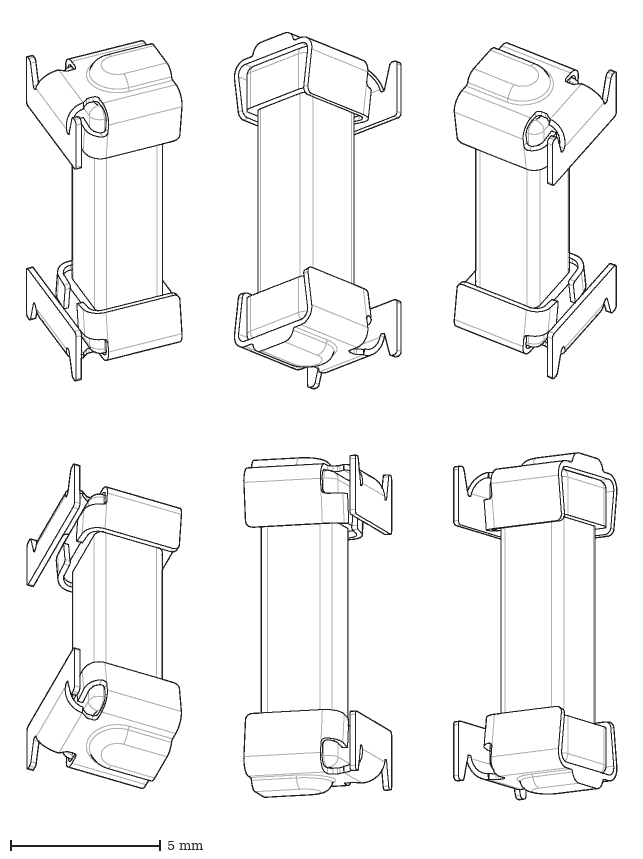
import cadquery as cq
import math

total_height = 11.3
sheet = 0.198

column_side = 2.46
column_corner = 0.311

block_half = 1.51
block_corner = 0.38
block_top_round = 0.33
block_open_z = 3.44

bump_rise = 0.4
bump_crown_half = 0.54
bump_foot_half = 1.04
bump_joint_share = 0.8
roof_z = total_height / 2 - bump_rise
back_y = 1.58

roll_x = 1.31
roll_radius = 0.51
lean = 8.0
wall_length = 1.51
wall_front_y = -1.11
wall_back_round = 0.23
roll_z = roof_z - roll_radius

tab_front_y = -1.7
tab_end_x = 0.69
tab_drop = 0.51
tab_round = 0.11
relief_round = 0.17
corner_radius = wall_front_y - tab_front_y

relief_half = 0.86
relief_end_y = -1.47
relief_corner = 0.15
tongue_half = 1.04

plate_half = 2.1
plate_front_y = -2.42
plate_edge_z = 3.36
prong_tip_z = 5.37
prong_tip_half = 1.77
prong_round = 0.14
notch_floor_z = 4.43
notch_outer = 1.49
notch_inner = 1.33
notch_round = 0.073
tongue_radius = tab_front_y - plate_front_y

pick_margin = 0.06


def make_column():
    return (
        cq.Workplane("XY")
        .rect(column_side, column_side)
        .extrude(roof_z - sheet, both=True)
        .edges("|Z")
        .fillet(column_corner)
    )


def make_block():
    return (
        cq.Workplane("XY")
        .workplane(offset=block_open_z)
        .rect(2 * block_half, 2 * block_half)
        .extrude(roof_z - sheet - block_open_z)
        .edges("|Z")
        .fillet(block_corner)
        .faces(">Z")
        .edges()
        .fillet(block_top_round)
    )


def draw_bump_half():
    """Half of the bump cross section, with a convex arc running into a concave one."""
    joint_x = bump_crown_half + bump_joint_share * (bump_foot_half - bump_crown_half)
    joint_z = total_height / 2 - bump_joint_share * bump_rise
    base_z = roof_z - sheet
    return (
        cq.Workplane("XZ")
        .moveTo(0, base_z)
        .lineTo(0, total_height / 2)
        .lineTo(bump_crown_half, total_height / 2)
        .tangentArcPoint((joint_x, joint_z), relative=False)
        .tangentArcPoint((bump_foot_half, roof_z), relative=False)
        .lineTo(bump_foot_half, base_z)
        .close()
    )


def make_bump():
    """Bump running straight to the back, with a round front end."""
    round_end = draw_bump_half().revolve(360, (0, 0), (0, 1))
    straight_half = draw_bump_half().extrude(-back_y)
    return round_end.union(straight_half).union(straight_half.mirror("YZ"))


def make_roof():
    """Flat roof with a relief slot cut in at both front corners."""
    right_edge = [
        (roll_x, back_y),
        (roll_x, wall_front_y),
        (relief_half, wall_front_y),
        (relief_half, relief_end_y),
        (tongue_half, tab_front_y),
    ]
    left_edge = [(-x, y) for x, y in reversed(right_edge)]
    slot_corners = cq.selectors.BoxSelector(
        (-relief_half - pick_margin, relief_end_y - pick_margin, 0),
        (relief_half + pick_margin, wall_front_y + pick_margin, total_height),
    )
    return (
        cq.Workplane("XY")
        .workplane(offset=roof_z - sheet)
        .polyline(right_edge + left_edge)
        .close()
        .extrude(sheet)
        .edges("|Z")
        .edges(slot_corners)
        .fillet(relief_corner)
    )


def make_side_roll():
    """Rolled edge joining the roof to the leaning right wall."""
    inner_radius = roll_radius - sheet

    def on_arc(radius, angle):
        turn = math.radians(angle)
        return (roll_x + radius * math.cos(turn), roll_z + radius * math.sin(turn))

    middle = (90 - lean) / 2
    return (
        cq.Workplane("XZ", origin=(0, back_y, 0))
        .moveTo(*on_arc(roll_radius, 90))
        .threePointArc(on_arc(roll_radius, middle), on_arc(roll_radius, -lean))
        .lineTo(*on_arc(inner_radius, -lean))
        .threePointArc(on_arc(inner_radius, middle), on_arc(inner_radius, 90))
        .close()
        .extrude(back_y - wall_front_y)
    )


def make_side_wall():
    """Right wall with its front tab, made upright and then leaned about the roll axis."""
    outer_x = roll_x + roll_radius
    inner_x = outer_x - sheet
    inner_corner = corner_radius - sheet
    bottom_z = roll_z - wall_length
    wall = (
        cq.Workplane("XY")
        .workplane(offset=bottom_z)
        .moveTo(outer_x, back_y)
        .lineTo(outer_x, wall_front_y)
        .radiusArc((outer_x - corner_radius, tab_front_y), corner_radius)
        .lineTo(tab_end_x, tab_front_y)
        .lineTo(tab_end_x, tab_front_y + sheet)
        .lineTo(inner_x - inner_corner, tab_front_y + sheet)
        .radiusArc((inner_x, wall_front_y), -inner_corner)
        .lineTo(inner_x, back_y)
        .close()
        .extrude(wall_length)
        .edges("|X and >Y and <Z")
        .fillet(wall_back_round)
        .edges("|Y and <X and <Z")
        .fillet(tab_round)
    )
    relief = (
        cq.Workplane("YZ")
        .moveTo(wall_front_y, roll_z)
        .lineTo(wall_front_y, roll_z - tab_drop)
        .lineTo(tab_front_y - sheet, roll_z - tab_drop)
        .lineTo(tab_front_y - sheet, roll_z)
        .close()
        .extrude(outer_x + sheet)
        .edges("|X and >Y and <Z")
        .fillet(relief_round)
    )
    return wall.cut(relief).rotate((roll_x, 0, roll_z), (roll_x, 1, roll_z), lean)


def make_mounting_plate():
    """Tongue bent down from the roof into the flat plate, trimmed to the pronged outline."""
    tongue = (
        cq.Workplane("YZ")
        .moveTo(tab_front_y, roof_z)
        .radiusArc((plate_front_y, roof_z - tongue_radius), -tongue_radius)
        .lineTo(plate_front_y, plate_edge_z)
        .lineTo(plate_front_y + sheet, plate_edge_z)
        .lineTo(plate_front_y + sheet, roof_z - tongue_radius)
        .radiusArc((tab_front_y, roof_z - sheet), tongue_radius - sheet)
        .close()
        .extrude(notch_outer, both=True)
    )
    tongue_space = (
        cq.Workplane("XY")
        .workplane(offset=roof_z - tongue_radius)
        .rect(2 * notch_outer, 2 * total_height)
        .extrude(total_height)
    )
    prong_sheet = (
        cq.Workplane("XZ", origin=(0, plate_front_y + sheet, 0))
        .rect(2 * plate_half, 2 * prong_tip_z)
        .extrude(sheet)
        .cut(tongue_space)
    )
    right_edge = [
        (plate_half, plate_edge_z),
        (plate_half, prong_tip_z),
        (prong_tip_half, prong_tip_z),
        (notch_outer, notch_floor_z),
        (notch_inner, notch_floor_z),
        (tongue_half, roof_z),
    ]
    left_edge = [(-x, z) for x, z in reversed(right_edge)]
    outline = (
        cq.Workplane("XZ", origin=(0, tab_front_y, 0))
        .polyline(right_edge + left_edge)
        .close()
        .extrude(tongue_radius)
    )
    for side in (-1, 1):
        prong_corners = cq.selectors.BoxSelector(
            (side * (notch_outer + pick_margin), plate_front_y - pick_margin, 0),
            (side * (plate_half + pick_margin), tab_front_y + pick_margin, total_height),
        )
        notch_corners = cq.selectors.BoxSelector(
            (side * (notch_inner - pick_margin), plate_front_y - pick_margin, notch_floor_z - pick_margin),
            (side * (notch_outer + pick_margin), tab_front_y + pick_margin, notch_floor_z + pick_margin),
        )
        outline = outline.edges("|Y").edges(prong_corners).fillet(prong_round)
        outline = outline.edges("|Y").edges(notch_corners).fillet(notch_round)
    return tongue.union(prong_sheet).intersect(outline)


def make_upper_end():
    right_side = make_side_roll().union(make_side_wall())
    return (
        make_block()
        .union(make_roof())
        .union(make_bump())
        .union(right_side)
        .union(right_side.mirror("YZ"))
        .union(make_mounting_plate())
    )


upper_end = make_upper_end()
result = make_column().union(upper_end).union(upper_end.mirror("XY"))